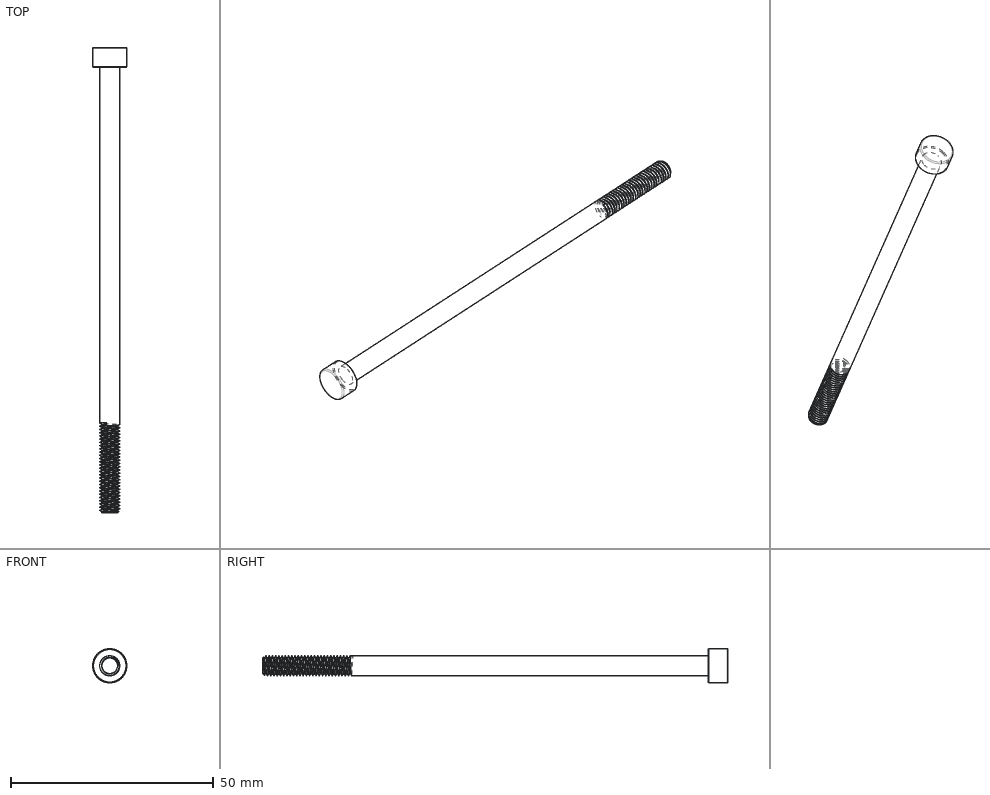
import cadquery as cq
import math

thread_diameter = 5.0
thread_pitch = 0.8
thread_length = 22.0
shank_length = 110.0
head_diameter = 8.5
head_height = thread_diameter
head_top_fillet = 0.3
head_bottom_chamfer = 0.25

flank_half_angle = math.radians(30)
depth_per_pitch = 0.6134
groove_depth = depth_per_pitch * thread_pitch
root_flat = thread_pitch / 4
tip_chamfer = 0.6

groove_lead_in = thread_pitch
rod_extra_length = 2 * thread_pitch

crest_overshoot = 0.03

groove_angle = 160

shank_radius = thread_diameter / 2
root_radius = shank_radius - groove_depth


def make_head():
    """Plain cylindrical head with a rounded top edge and a broken lower edge."""
    head = cq.Workplane("XY").circle(head_diameter / 2).extrude(head_height)
    head = head.faces(">Z").edges().fillet(head_top_fillet)
    return head.faces("<Z").edges().chamfer(head_bottom_chamfer)


def make_shank_envelope():
    """Outer form of the shank: a cylinder with a chamfered tip."""
    envelope = cq.Workplane("XY").circle(shank_radius).extrude(-shank_length)
    return envelope.faces("<Z").edges().chamfer(tip_chamfer)


def make_thread_groove():
    """Helical trapezoidal groove, running out past the tip of the shank."""
    outer_radius = shank_radius + crest_overshoot
    root_half_width = root_flat / 2
    mouth_half_width = root_half_width + (outer_radius - root_radius) * math.tan(flank_half_angle)
    helix_length = thread_length + groove_lead_in
    helix_start = -shank_length - groove_lead_in

    helix = cq.Wire.makeHelix(thread_pitch, helix_length, root_radius)
    profile = (
        cq.Workplane("XZ")
        .moveTo(root_radius, -root_half_width)
        .lineTo(outer_radius, -mouth_half_width)
        .lineTo(outer_radius, mouth_half_width)
        .lineTo(root_radius, root_half_width)
        .close()
    )
    groove = profile.sweep(cq.Workplane(obj=helix), isFrenet=True)
    return groove.rotate((0, 0, 0), (0, 0, 1), groove_angle).translate((0, 0, helix_start))


def make_shank():
    """Threaded shank: the groove is cut in an overlong rod, which is then trimmed to the envelope."""
    rod = cq.Workplane("XY").circle(shank_radius).extrude(-shank_length - rod_extra_length)
    return rod.cut(make_thread_groove()).intersect(make_shank_envelope())


screw = make_head().union(make_shank())

screw_frame = cq.Plane(origin=(0, 0, 0), xDir=(0, 0, 1), normal=(0, 1, 0))
result = cq.Workplane(screw.val().moved(screw_frame.location))